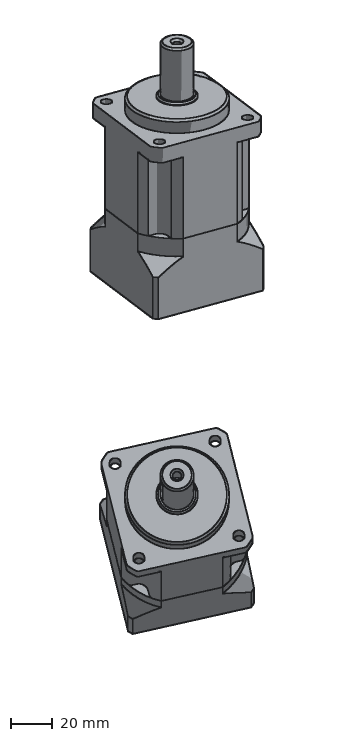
import cadquery as cq
import math

side = 62.0
half_side = side / 2
total_height = 128.2

cone_bottom_z = 22.4
cone_top_z = 30.1
joint_z = 39.7
flange_bottom_z = 83.5
flange_top_z = 91.5
pilot_top_z = 98.7
collar_top_z = 100.0

body_corner_radius = 34.5
base_corner_radius = 42.5
flange_corner_radius = 41.0
flange_edge_fillet = 2.4

screw_offset = 24.6
screw_hole_diameter = 5.5
pocket_radius = 4.6
pocket_edge_fillet = 2.8
pocket_wall = screw_offset - pocket_radius
pocket_mouth = math.sqrt(body_corner_radius**2 - pocket_wall**2)
tolerance = 0.01

pilot_diameter = 50.0
pilot_chamfer = 1.2
collar_diameter = 20.0
collar_chamfer = 0.9
shaft_diameter = 16.0
shaft_chamfer = 1.0

centre_hole_diameter = 4.2
countersink_diameter = 6.3
countersink_depth = 1.3
centre_hole_depth = 10.3
drill_point_angle = 120.0

keyway_width = 5.0
keyway_length = 25.0
keyway_centre_z = 113.7
keyway_depth = 3.0


def square_prism(bottom_z, top_z):
    """Square block of the full side between two levels."""
    return (
        cq.Workplane("XY", origin=(0, 0, bottom_z))
        .rect(side, side)
        .extrude(top_z - bottom_z)
    )


def disc(radius, bottom_z, top_z):
    """Cylinder about the Z axis between two levels."""
    return cq.Workplane("XY", origin=(0, 0, bottom_z)).circle(radius).extrude(top_z - bottom_z)


def make_base():
    """Square adapter whose corners are turned down through a cone to the body radius."""
    turned_blank = (
        cq.Workplane("XZ")
        .moveTo(0, 0)
        .lineTo(base_corner_radius, 0)
        .lineTo(base_corner_radius, cone_bottom_z)
        .lineTo(body_corner_radius, cone_top_z)
        .lineTo(body_corner_radius, joint_z)
        .lineTo(0, joint_z)
        .close()
        .revolve(360, (0, 0, 0), (0, 1, 0))
    )
    return square_prism(0, joint_z).intersect(turned_blank)


def make_flange():
    """Mounting flange with turned corners blended into the flat sides."""
    plate = square_prism(flange_bottom_z, flange_top_z)
    plate = plate.intersect(disc(flange_corner_radius, flange_bottom_z, flange_top_z))
    return plate.edges("|Z").fillet(flange_edge_fillet)


def corner_pocket(x_sign, y_sign):
    """Screw clearance cutter for one corner: a round bottom around the screw axis with
    straight walls running outward."""
    bottom_mid = screw_offset - pocket_radius * math.sqrt(0.5)

    def place(x, y):
        return (x_sign * x, y_sign * y)

    return (
        cq.Workplane("XY", origin=(0, 0, joint_z))
        .moveTo(*place(pocket_wall, half_side))
        .lineTo(*place(pocket_wall, screw_offset))
        .threePointArc(place(bottom_mid, bottom_mid), place(screw_offset, pocket_wall))
        .lineTo(*place(half_side, pocket_wall))
        .lineTo(*place(half_side, half_side))
        .close()
        .extrude(flange_bottom_z - joint_z)
    )


def is_rounded_mouth(edge):
    """True for the upright edges where a pocket wall meets the turned surface,
    except at the +X, -Y corner, whose pocket keeps sharp edges."""
    point = edge.Center()
    smaller = min(abs(point.x), abs(point.y))
    larger = max(abs(point.x), abs(point.y))
    at_mouth = abs(smaller - pocket_wall) < tolerance and abs(larger - pocket_mouth) < tolerance
    at_sharp_corner = point.x > 0 and point.y < 0
    return at_mouth and not at_sharp_corner


def make_body():
    """Gearbox body below the flange, with a screw pocket in every corner."""
    body = square_prism(joint_z, flange_bottom_z)
    body = body.intersect(disc(body_corner_radius, joint_z, flange_bottom_z))
    for x_sign in (-1, 1):
        for y_sign in (-1, 1):
            body = body.cut(corner_pocket(x_sign, y_sign))
    return body.edges("|Z").filter(is_rounded_mouth).fillet(pocket_edge_fillet)


def screw_holes():
    """Cutters for the four screw holes through the flange."""
    return (
        cq.Workplane("XY", origin=(0, 0, flange_bottom_z))
        .rect(2 * screw_offset, 2 * screw_offset, forConstruction=True)
        .vertices()
        .circle(screw_hole_diameter / 2)
        .extrude(flange_top_z - flange_bottom_z)
    )


def make_pilot_and_collar():
    """Locating pilot on the flange and the small collar around the shaft."""
    pilot = disc(pilot_diameter / 2, flange_top_z, pilot_top_z).faces(">Z").chamfer(pilot_chamfer)
    collar = disc(collar_diameter / 2, pilot_top_z, collar_top_z).faces(">Z").chamfer(collar_chamfer)
    return pilot.union(collar)


def centre_hole():
    """Cutter for the countersunk, drill-pointed hole in the shaft end."""
    hole_radius = centre_hole_diameter / 2
    point_length = hole_radius / math.tan(math.radians(drill_point_angle / 2))
    hole_bottom_z = total_height - centre_hole_depth
    return (
        cq.Workplane("XZ")
        .moveTo(0, total_height)
        .lineTo(countersink_diameter / 2, total_height)
        .lineTo(hole_radius, total_height - countersink_depth)
        .lineTo(hole_radius, hole_bottom_z)
        .lineTo(0, hole_bottom_z - point_length)
        .close()
        .revolve(360, (0, 0, 0), (0, 1, 0))
    )


def keyway():
    """Cutter for the round-ended keyway, sunk into the +Y side of the shaft."""
    floor_y = shaft_diameter / 2 - keyway_depth
    return (
        cq.Workplane("XZ", origin=(0, floor_y, 0))
        .center(0, keyway_centre_z)
        .slot2D(keyway_length, keyway_width, 90)
        .extrude(-shaft_diameter)
    )


def make_shaft():
    """Output shaft with chamfered end, centre hole and keyway."""
    shaft = disc(shaft_diameter / 2, pilot_top_z, total_height).faces(">Z").chamfer(shaft_chamfer)
    return shaft.cut(centre_hole()).cut(keyway())


def make_gearbox():
    """Gearbox in one piece: body, drilled flange, pilot, collar and shaft."""
    flange = make_flange().cut(screw_holes())
    return make_body().union(flange).union(make_pilot_and_collar()).union(make_shaft())


base = make_base()
gearbox = make_gearbox()

result = cq.Compound.makeCompound([base.val(), gearbox.val()])